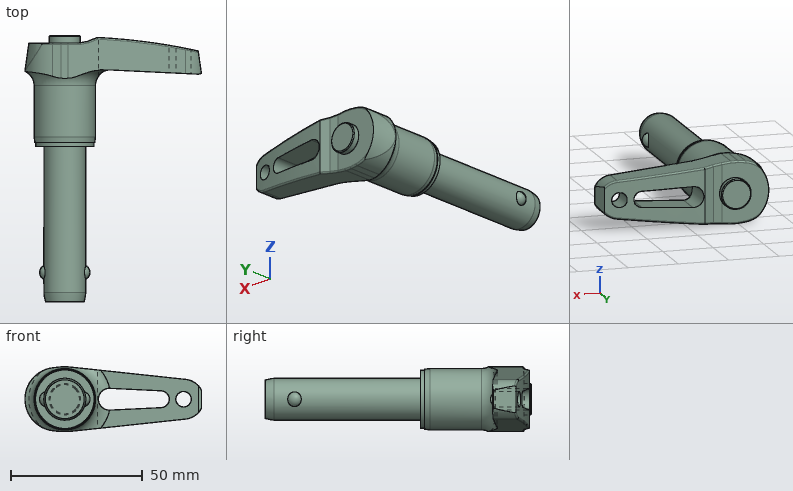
import math

import cadquery as cq


shank_radius = 8.0
shank_length = 59.0
nose_length = 3.5
nose_tip_radius = 7.35
nose_mid_radius = 7.77
ball_radius = 2.9
ball_reach = 9.6
ball_y = -47.8

collar_radius = 11.7
collar_shoulder_y = 1.6
collar_shoulder_radius = 11.45
collar_taper_y = 3.7
collar_foot_radius = 11.1
collar_top_y = 23.2
flare_radius = 5.85
flare_rim_radius = collar_radius + flare_radius
flare_top_y = collar_top_y + flare_radius
flare_fill_y = 38.35

button_radius = 5.95
button_top_y = 42.2
button_chamfer = 0.4

hub_radius = 12.1
hub_center_x = -3.05
hub_arc_end_x = -4.6
flat_start_x = -1.5
flat_end_x = 1.3
half_width = 12.35
arm_taper = math.radians(6.1)
eye_x = 45.1
end_x = 51.95

hub_top_y = 39.35
rise_start_x = 5.0
rise_bend = (8.6, 40.0)
crest = (12.4, 41.5)
arm_top_mid = (30.0, 39.95)
end_top = (50.7, 36.35)
end_bottom_y = 27.45
end_bevel_length = 1.1
end_bevel_height = 0.3
top_edge_round = 0.65

back_top_radius = 13.7
back_bottom_radius = 15.2
back_bottom_y = 28.5

eye_diameter = 5.8
slot_near_x = 16.9
slot_near_radius = 4.1
slot_far_x = 36.5
slot_far_radius = 3.15

clearance = 80.0
crossing_tolerance = 1.0


def revolve_about_pin(profile):
    return profile.close().revolve(360, (0, 0, 0), (0, 1, 0))


def prism_along_y(outline):
    """Close an XZ outline and extrude it from Y = 0 past the top of the handle."""
    return outline.close().extrude(-clearance)


def make_pin():
    nose_y = nose_length - shank_length
    nose_mid = (nose_mid_radius, nose_y - nose_length / 2)
    shank = revolve_about_pin(
        cq.Workplane("XY")
        .moveTo(0, -shank_length)
        .lineTo(nose_tip_radius, -shank_length)
        .threePointArc(nose_mid, (shank_radius, nose_y))
        .lineTo(shank_radius, collar_top_y)
        .lineTo(0, collar_top_y)
    )
    for side in (-1, 1):
        ball = cq.Workplane("XY").sphere(ball_radius)
        shank = shank.union(ball.translate((side * (ball_reach - ball_radius), ball_y, 0)))
    return shank


def make_collar():
    return revolve_about_pin(
        cq.Workplane("XY")
        .lineTo(collar_foot_radius, 0)
        .lineTo(collar_foot_radius, collar_shoulder_y)
        .lineTo(collar_shoulder_radius, collar_shoulder_y)
        .lineTo(collar_radius, collar_taper_y)
        .lineTo(collar_radius, flare_top_y)
        .lineTo(0, flare_top_y)
    )


def make_flare():
    """Concave skirt that blends the collar into the underside of the handle."""
    diagonal = flare_radius * math.sqrt(0.5)
    return revolve_about_pin(
        cq.Workplane("XY")
        .moveTo(0, collar_top_y)
        .lineTo(collar_radius, collar_top_y)
        .threePointArc(
            (flare_rim_radius - diagonal, collar_top_y + diagonal),
            (flare_rim_radius, flare_top_y),
        )
        .lineTo(flare_rim_radius, flare_fill_y)
        .lineTo(0, flare_fill_y)
    )


def make_button():
    height = button_top_y - collar_top_y
    button = cq.Workplane("XZ").workplane(offset=-collar_top_y).circle(button_radius).extrude(-height)
    return button.faces(">Y").chamfer(button_chamfer)


def handle_outline():
    hub_arc_end_z = math.sqrt(hub_radius**2 - (hub_arc_end_x - hub_center_x) ** 2)
    tip_radius = (half_width - (eye_x - flat_end_x) * math.tan(arm_taper)) * math.cos(arm_taper)
    tangent_x = eye_x + tip_radius * math.sin(arm_taper)
    tangent_z = tip_radius * math.cos(arm_taper)
    return prism_along_y(
        cq.Workplane("XZ")
        .moveTo(hub_arc_end_x, hub_arc_end_z)
        .lineTo(flat_start_x, half_width)
        .lineTo(flat_end_x, half_width)
        .lineTo(tangent_x, tangent_z)
        .threePointArc((eye_x + tip_radius, 0), (tangent_x, -tangent_z))
        .lineTo(flat_end_x, -half_width)
        .lineTo(flat_start_x, -half_width)
        .lineTo(hub_arc_end_x, -hub_arc_end_z)
        .threePointArc((hub_center_x - hub_radius, 0), (hub_arc_end_x, hub_arc_end_z))
    )


def handle_profile():
    bevel_start_x = end_x - end_bevel_length
    underside_slope = (flare_top_y - end_bottom_y) / (bevel_start_x - flare_rim_radius)
    return (
        cq.Workplane("XY")
        .moveTo(-clearance, flare_top_y + underside_slope * (flare_rim_radius + clearance))
        .lineTo(bevel_start_x, end_bottom_y)
        .lineTo(end_x, end_bottom_y + end_bevel_height)
        .lineTo(*end_top)
        .threePointArc(arm_top_mid, crest)
        .lineTo(*rise_bend)
        .lineTo(rise_start_x, hub_top_y)
        .lineTo(-clearance, hub_top_y)
        .close()
        .extrude(clearance / 2, both=True)
    )


def outside_back_cone():
    """Material behind the pin axis that lies outside the conical back face."""
    draft = (back_bottom_radius - back_top_radius) / (hub_top_y - back_bottom_y)
    foot_radius = back_bottom_radius + draft * back_bottom_y
    apex_y = foot_radius / draft
    cone = revolve_about_pin(cq.Workplane("XY").lineTo(foot_radius, 0).lineTo(0, apex_y))
    behind = cq.Workplane("XY").box(clearance, clearance, clearance).translate(
        (-clearance / 2, clearance / 2, 0)
    )
    return behind.cut(cone)


def make_slot():
    lean = math.asin((slot_near_radius - slot_far_radius) / (slot_far_x - slot_near_x))
    near_x = slot_near_x + slot_near_radius * math.sin(lean)
    near_z = slot_near_radius * math.cos(lean)
    far_x = slot_far_x + slot_far_radius * math.sin(lean)
    far_z = slot_far_radius * math.cos(lean)
    return prism_along_y(
        cq.Workplane("XZ")
        .moveTo(near_x, near_z)
        .lineTo(far_x, far_z)
        .threePointArc((slot_far_x + slot_far_radius, 0), (far_x, -far_z))
        .lineTo(near_x, -near_z)
        .threePointArc((slot_near_x - slot_near_radius, 0), (near_x, near_z))
    )


def round_top_rim(handle):
    """Round the edges where the top faces meet the side walls of the handle."""

    def is_rim_edge(edge):
        center = edge.Center()
        return center.y > end_top[1] and abs(center.z) > crossing_tolerance

    rim = handle.edges().filter(is_rim_edge)
    return handle.newObject(rim.vals()).fillet(top_edge_round)


def make_handle():
    outline = handle_outline()
    handle = outline.intersect(handle_profile())
    handle = handle.union(make_flare().intersect(outline))
    handle = handle.cut(outside_back_cone())
    handle = round_top_rim(handle)
    eye = cq.Workplane("XZ").center(eye_x, 0).circle(eye_diameter / 2).extrude(-clearance)
    return handle.cut(make_slot()).cut(eye)


result = make_handle().union(make_collar()).union(make_pin()).union(make_button())